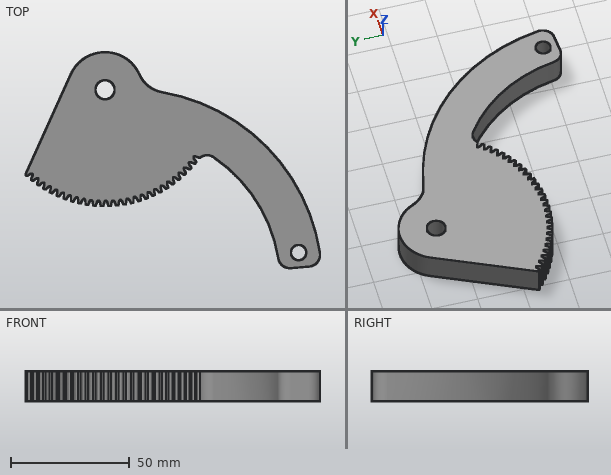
import cadquery as cq
import math

THICKNESS = 12.7

PIVOT_HOLE_DIAMETER = 7.94
LOBE_RADIUS = 15.875
SIDE_NORMAL_ANGLE = 155.7

MODULE = 1.0
FULL_TEETH = 96
SPACE_COUNT = 26
FIRST_SPACE_ANGLE = -130.85
PRESSURE_ANGLE = math.radians(20)
DEDENDUM_FACTOR = 1.25
ROOT_ROUND_DEPTH = 0.5

ARM_CENTER = (10.14, -81.07)
ARM_INNER_RADIUS = 63.5
ARM_OUTER_RADIUS = 81.28
ARM_END_ANGLE = 5.0
ARM_HOLE_ANGLE = 10.0
ARM_HOLE_DIAMETER = 6.35

NECK_FILLET = 12.7
GAP_FILLET = 4.7625
END_FILLET = 5.08

PIVOT = (0.0, 0.0)
PITCH_RADIUS = MODULE * FULL_TEETH / 2
TIP_RADIUS = PITCH_RADIUS + MODULE
ROOT_RADIUS = PITCH_RADIUS - DEDENDUM_FACTOR * MODULE
FLANK_START_RADIUS = ROOT_RADIUS + ROOT_ROUND_DEPTH
BASE_RADIUS = PITCH_RADIUS * math.cos(PRESSURE_ANGLE)
TOOTH_PITCH = 360 / FULL_TEETH
SPACE_OVERSHOOT = 0.5
ARM_MID_RADIUS = (ARM_INNER_RADIUS + ARM_OUTER_RADIUS) / 2


def polar(center, radius, degrees):
    """Point at a radius and direction from a center."""
    angle = math.radians(degrees)
    return (center[0] + radius * math.cos(angle), center[1] + radius * math.sin(angle))


def direction(start, end):
    """Direction from one point to another, in degrees."""
    return math.degrees(math.atan2(end[1] - start[1], end[0] - start[0]))


def arc_to(sketch, center, radius, start, end):
    """Add an arc about a center, from direction start to direction end."""
    return sketch.threePointArc(polar(center, radius, (start + end) / 2), polar(center, radius, end))


def blend_center(pivot_distance, arm_distance):
    """Right-hand point at given distances from the pivot and from the arm center."""
    spacing = math.hypot(*ARM_CENTER)
    cosine = (pivot_distance**2 + spacing**2 - arm_distance**2) / (2 * pivot_distance * spacing)
    return polar(PIVOT, pivot_distance, direction(PIVOT, ARM_CENTER) + math.degrees(math.acos(cosine)))


def end_corner(distance):
    """Direction from the arm center to an end fillet center at that distance."""
    return ARM_END_ANGLE + math.degrees(math.asin(END_FILLET / distance))


def plate():
    """Lobe, untoothed gear sector and curved arm as one plate."""
    neck = blend_center(LOBE_RADIUS + NECK_FILLET, ARM_OUTER_RADIUS + NECK_FILLET)
    gap = blend_center(TIP_RADIUS + GAP_FILLET, ARM_INNER_RADIUS - GAP_FILLET)
    outer_corner_distance = ARM_OUTER_RADIUS - END_FILLET
    inner_corner_distance = ARM_INNER_RADIUS + END_FILLET
    outer_corner_angle = end_corner(outer_corner_distance)
    inner_corner_angle = end_corner(inner_corner_distance)
    outer_corner = polar(ARM_CENTER, outer_corner_distance, outer_corner_angle)
    inner_corner = polar(ARM_CENTER, inner_corner_distance, inner_corner_angle)
    end_normal = ARM_END_ANGLE - 90

    neck_from_pivot = direction(PIVOT, neck)
    neck_from_arm = direction(ARM_CENTER, neck)
    gap_from_pivot = direction(PIVOT, gap)
    gap_from_arm = direction(ARM_CENTER, gap)
    side_end_angle = SIDE_NORMAL_ANGLE + math.degrees(math.acos(LOBE_RADIUS / TIP_RADIUS)) - 360

    outline = cq.Workplane("XY").moveTo(*polar(PIVOT, LOBE_RADIUS, SIDE_NORMAL_ANGLE))
    outline = arc_to(outline, PIVOT, LOBE_RADIUS, SIDE_NORMAL_ANGLE, neck_from_pivot)
    outline = arc_to(outline, neck, NECK_FILLET, neck_from_pivot + 180, neck_from_arm + 180)
    outline = arc_to(outline, ARM_CENTER, ARM_OUTER_RADIUS, neck_from_arm, outer_corner_angle)
    outline = arc_to(outline, outer_corner, END_FILLET, outer_corner_angle, end_normal)
    outline = outline.lineTo(*polar(inner_corner, END_FILLET, end_normal))
    outline = arc_to(outline, inner_corner, END_FILLET, end_normal, inner_corner_angle - 180)
    outline = arc_to(outline, ARM_CENTER, ARM_INNER_RADIUS, inner_corner_angle, gap_from_arm)
    outline = arc_to(outline, gap, GAP_FILLET, gap_from_arm, gap_from_pivot + 180)
    outline = arc_to(outline, PIVOT, TIP_RADIUS, gap_from_pivot, side_end_angle)
    return outline.close().extrude(THICKNESS)


def involute(angle):
    """Involute function of a pressure angle, in radians."""
    return math.tan(angle) - angle


def space_half_angle(radius):
    """Half the angle of a tooth space at a radius, in degrees, for involute flanks."""
    local_pressure_angle = math.acos(BASE_RADIUS / radius)
    growth = involute(local_pressure_angle) - involute(PRESSURE_ANGLE)
    return TOOTH_PITCH / 4 + math.degrees(growth)


def tooth_space():
    """Cutter for the gap between two neighbouring teeth, centered on +X, as one smooth curve."""
    mouth_radius = TIP_RADIUS + SPACE_OVERSHOOT

    def flank(radius, side):
        return polar(PIVOT, radius, side * space_half_angle(radius))

    curve_points = [
        flank(PITCH_RADIUS, -1),
        flank(FLANK_START_RADIUS, -1),
        polar(PIVOT, ROOT_RADIUS, 0),
        flank(FLANK_START_RADIUS, 1),
        flank(PITCH_RADIUS, 1),
        flank(mouth_radius, 1),
    ]
    return (
        cq.Workplane("XY")
        .moveTo(*flank(mouth_radius, -1))
        .spline(curve_points, includeCurrent=True)
        .close()
        .extrude(THICKNESS)
    )


def hole(center, diameter):
    """Cutter for a hole through the plate."""
    return cq.Workplane("XY").center(*center).circle(diameter / 2).extrude(THICKNESS)


def cut_teeth(body):
    """Cut every tooth space into the rim of the gear sector."""
    cutter = tooth_space()
    for index in range(SPACE_COUNT):
        angle = FIRST_SPACE_ANGLE + index * TOOTH_PITCH
        body = body.cut(cutter.rotate((0, 0, 0), (0, 0, 1), angle))
    return body


result = cut_teeth(plate())
result = result.cut(hole(PIVOT, PIVOT_HOLE_DIAMETER))
result = result.cut(hole(polar(ARM_CENTER, ARM_MID_RADIUS, ARM_HOLE_ANGLE), ARM_HOLE_DIAMETER))